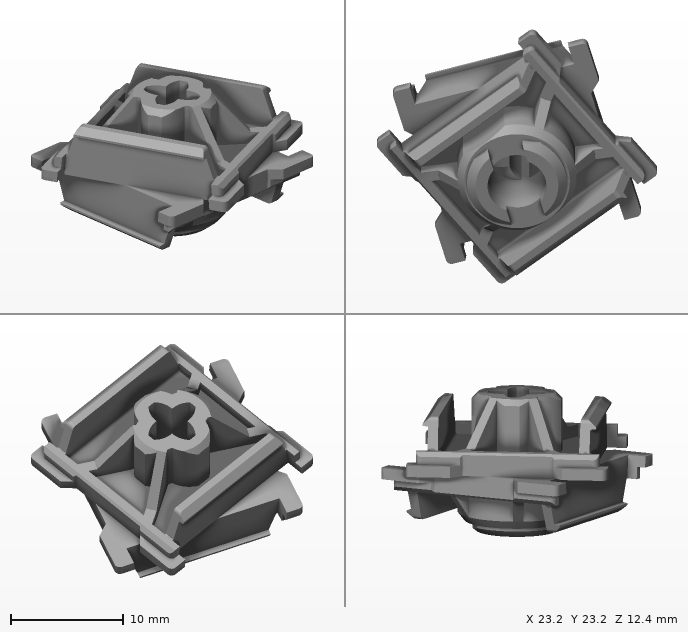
import math

import cadquery as cq

total_height = 12.4
half_height = total_height / 2
upper_turn = 22.5

plate_width = 18.0
plate_thickness = 1.0
corner_radius = 0.5

rail_span = 16.4
rail_inner = 7.0
rail_top = 2.1
rail_chamfer = 0.4

recess_floor = 8.0
recess_half_length = 4.0
recess_depth = plate_width / 2 - recess_floor

wall_outer = 7.25
wall_inner_foot = 6.3
wall_inner_top = 6.36
wall_foot_radius = 0.25
wall_top = 4.92
barb_tip = 7.75
barb_root_z = 4.1
barb_tip_low_z = 4.15
barb_tip_high_z = 4.35
barb_crest = 7.05
wall_half_length = 7.03
wall_end_slope = 0.354
wall_end_radius = 0.45

notch_half_at_base = 7.35
notch_half_at_rail_top = 7.17

rib_angle = 30.0
rib_half_width_base = 0.51
rib_half_width_top = 0.43
rib_slope_start = 7.0
rib_end = 8.6

hole_corner = 0.97
hole_lobe_reach = 2.6
hole_tip_half = 0.35
hole_side = (0.87, 1.75)

post_corner = 2.1
post_lobe_reach = 4.0
post_tip_half = 0.65
post_side = (1.6, 3.15)
post_top_radius = 3.5
post_chamfer_reach = 0.8

drum_radius = 5.3
drum_height = 5.28
drum_end_radius = 4.7
drum_chamfer_height = 0.75
drum_half_across_flats = 4.74
bore_radius = 2.62
ring_radius = 4.45
ring_end_radius = 3.68
ring_chamfer_start = 5.58
ring_flat_distance = 4.13
ring_flat_turn = 22.5
slot_half_width = 1.58


def prism(profile, thickness):
    """Extrude a list of (X, Z) points along Y, centred on the XZ plane."""
    return cq.Workplane("XZ").polyline(profile).close().extrude(thickness / 2, both=True)


def box(x_range, y_range, z_range):
    size = [high - low for low, high in (x_range, y_range, z_range)]
    return cq.Workplane("XY").box(*size, centered=False).translate((x_range[0], y_range[0], z_range[0]))


def rounded_square(width, height):
    return cq.Workplane("XY").rect(width, width).extrude(height).edges("|Z").fillet(corner_radius)


def cloverleaf(corner, reach, tip_half, side, height):
    """Four equal lobes along X and Y; each runs from a shared corner along an arc to a flat tip."""
    def turned(point, quarter):
        x, y = point
        for _ in range(quarter):
            x, y = -y, x
        return x, y

    outline = cq.Workplane("XY").moveTo(corner, corner)
    for quarter in range(4):
        outline = outline.threePointArc(turned(side, quarter), turned((tip_half, reach), quarter))
        outline = outline.lineTo(*turned((-tip_half, reach), quarter))
        outline = outline.threePointArc(
            turned((-side[0], side[1]), quarter), turned((-corner, corner), quarter)
        )
    return outline.close().extrude(height)


def both_sides(shape, plane):
    return shape.union(shape.mirror(plane))


def rails():
    """Two rails along Y with a sloped outer top edge and rounded outer corners."""
    outer = rail_span / 2
    profile = [
        (rail_inner, 0),
        (outer, 0),
        (outer, rail_top - rail_chamfer),
        (outer - rail_chamfer, rail_top),
        (rail_inner, rail_top),
    ]
    rail = prism(profile, rail_span).intersect(rounded_square(rail_span, rail_top))
    wall_gap = box(
        (rail_inner, notch_half_at_rail_top),
        (rail_inner * math.tan(math.radians(rib_angle)), wall_inner_foot),
        (plate_thickness, rail_top),
    )
    rail = rail.cut(both_sides(wall_gap, "XZ"))
    return both_sides(rail, "YZ")


def side_recesses():
    """Shallow recess with 45 degree ends, through the middle of each X side."""
    outer = plate_width / 2
    wide = recess_half_length + recess_depth
    outline = [
        (recess_floor, -recess_half_length),
        (outer, -wide),
        (outer, wide),
        (recess_floor, recess_half_length),
    ]
    return both_sides(cq.Workplane("XY").polyline(outline).close().extrude(rail_top), "YZ")


def end_notches():
    """Notch with drafted ends in each Y side, in front of the clip wall."""
    profile = [
        (-notch_half_at_base, 0),
        (notch_half_at_base, 0),
        (notch_half_at_rail_top, rail_top),
        (-notch_half_at_rail_top, rail_top),
    ]
    depth = plate_width / 2 - wall_outer
    notch = prism(profile, depth).translate((0, wall_outer + depth / 2, 0))
    return both_sides(notch, "XZ")


def clip_walls():
    """Barbed wall along each Y side, with sloped ends and rounded upper end corners."""
    foot_z = plate_thickness
    foot_tangent = wall_foot_radius * math.sqrt(0.5)
    section = (
        cq.Workplane("YZ")
        .moveTo(wall_inner_foot - wall_foot_radius, foot_z)
        .threePointArc(
            (wall_inner_foot - wall_foot_radius + foot_tangent, foot_z + wall_foot_radius - foot_tangent),
            (wall_inner_foot, foot_z + wall_foot_radius),
        )
        .lineTo(wall_inner_top, wall_top)
        .lineTo(barb_crest, wall_top)
        .lineTo(barb_tip, barb_tip_high_z)
        .lineTo(barb_tip, barb_tip_low_z)
        .lineTo(wall_outer, barb_root_z)
        .lineTo(wall_outer, 0)
        .lineTo(wall_inner_foot - wall_foot_radius, 0)
        .close()
        .extrude(notch_half_at_rail_top, both=True)
    )
    base_half = wall_half_length + wall_end_slope * rail_top
    top_half = base_half - wall_end_slope * wall_top
    profile = [(-base_half, 0), (base_half, 0), (top_half, wall_top), (-top_half, wall_top)]
    envelope = prism(profile, plate_width).faces(">Z").edges("|Y").fillet(wall_end_radius)
    return both_sides(section.intersect(envelope), "XZ")


def ribs(hub_radius, hub_z):
    """Four ribs from the rails, each sloping up to the hub at the given radius and height."""
    profile = [
        (0, 0),
        (rib_end, 0),
        (rib_end, rail_top),
        (rib_slope_start, rail_top),
        (hub_radius, hub_z),
        (0, hub_z),
    ]
    draft = [
        (-rib_half_width_base, 0),
        (rib_half_width_base, 0),
        (rib_half_width_top, half_height),
        (-rib_half_width_top, half_height),
    ]
    drafted_bar = cq.Workplane("YZ").polyline(draft).close().extrude(rib_end)
    rib = prism(profile, 2 * rib_half_width_base).intersect(drafted_bar)
    group = cq.Workplane("XY")
    for angle in (rib_angle, 180 - rib_angle, 180 + rib_angle, -rib_angle):
        group = group.union(rib.rotate((0, 0, 0), (0, 0, 1), angle))
    return group


def clip_base():
    """Plate with rails and clip walls, common to both halves."""
    frame = rounded_square(plate_width, plate_thickness).union(rails())
    return frame.cut(side_recesses()).cut(end_notches()).union(clip_walls())


def clover_hole():
    """Cloverleaf opening through the upper half."""
    return cloverleaf(hole_corner, hole_lobe_reach, hole_tip_half, hole_side, half_height)


def post():
    """Cloverleaf post whose lobes are cut by one conical chamfer at the top."""
    leaf = cloverleaf(post_corner, post_lobe_reach, post_tip_half, post_side, half_height)
    wide = post_top_radius + post_chamfer_reach
    envelope = cq.Workplane("XY").circle(wide).extrude(half_height).faces(">Z").chamfer(post_chamfer_reach)
    return leaf.intersect(envelope)


def drum():
    """Round drum with a conical end and two flats facing the clip walls."""
    body = cq.Workplane("XY").circle(drum_radius).extrude(drum_height)
    body = body.faces(">Z").chamfer(drum_chamfer_height, drum_radius - drum_end_radius)
    flats = cq.Workplane("XY").rect(plate_width, 2 * drum_half_across_flats).extrude(drum_height)
    return body.intersect(flats)


def coupling_ring():
    """Conical-edged ring on the drum end, slotted along Y, with a flat at either side of each mouth."""
    outline = [
        (0, 0),
        (ring_radius, 0),
        (ring_radius, ring_chamfer_start),
        (ring_end_radius, half_height),
        (0, half_height),
    ]
    ring = cq.Workplane("XZ").polyline(outline).close().revolve(360, (0, 0), (0, 1))
    between_flats = cq.Workplane("XY").rect(plate_width, 2 * ring_flat_distance).extrude(half_height)
    for turn in (-ring_flat_turn, ring_flat_turn):
        ring = ring.intersect(between_flats.rotate((0, 0, 0), (0, 0, 1), turn))
    slot = box(
        (-slot_half_width, slot_half_width),
        (-plate_width / 2, plate_width / 2),
        (drum_height, half_height),
    )
    return ring.cut(slot)


def make_upper_half():
    half = clip_base().union(ribs(post_top_radius, half_height)).union(post()).cut(clover_hole())
    return half.rotate((0, 0, 0), (0, 0, 1), upper_turn)


def make_lower_half():
    ring = coupling_ring().rotate((0, 0, 0), (0, 0, 1), upper_turn)
    bore = cq.Workplane("XY").circle(bore_radius).extrude(half_height)
    rib_group = ribs(drum_radius, drum_height - drum_chamfer_height)
    half = clip_base().union(rib_group).union(drum()).union(ring).cut(bore)
    return half.mirror("XY")


upper_half = make_upper_half()
lower_half = make_lower_half()
result = cq.Compound.makeCompound([upper_half.val(), lower_half.val()])